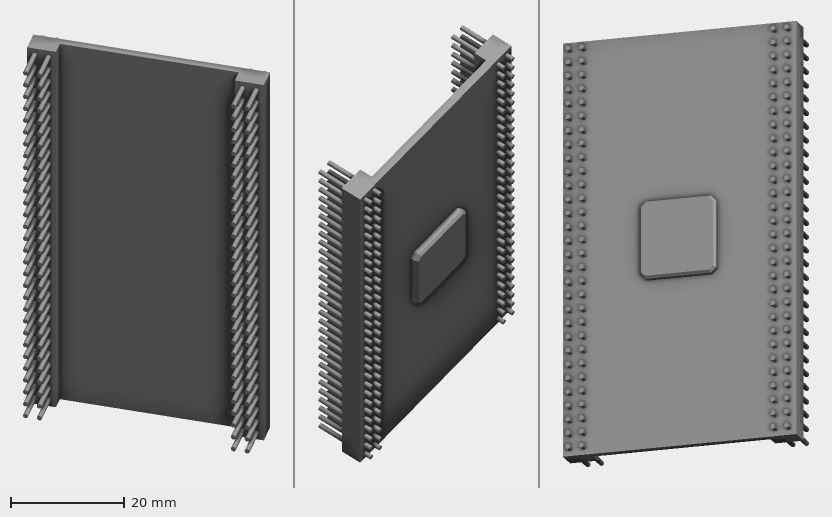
import cadquery as cq

length = 76.45
width = 43.4
depth = 11.55

pin_diameter = 0.9
pins_per_row = 30
edge_margin = 1.4
pin_pitch = (length - 2 * edge_margin) / (pins_per_row - 1)
outer_row_x = width / 2 - edge_margin
inner_row_x = outer_row_x - pin_pitch
pin_back_length = 1.45

board_thickness = 1.5
strip_width = pin_pitch + 2 * edge_margin
body_depth = 4.1

chip_size = 14.3
chip_height = pin_back_length
chip_corner = 1.0
chip_bevel = 0.45

back_tip_y = depth / 2
front_tip_y = -depth / 2
board_back_y = back_tip_y - pin_back_length
board_front_y = board_back_y - board_thickness
strip_front_y = board_back_y - body_depth


def make_body():
    """Channel section: a thin board with a header strip along each side."""
    half_width = width / 2
    half_gap = half_width - strip_width
    body = cq.Workplane("XY").box(width, body_depth, length)
    body = body.translate((0, (board_back_y + strip_front_y) / 2, 0))
    gap_depth = board_front_y - strip_front_y
    gap = cq.Workplane("XY").box(2 * half_gap, gap_depth, length)
    return body.cut(gap.translate((0, (board_front_y + strip_front_y) / 2, 0)))


def make_chip():
    """Square package with cut corners and a bevelled rim on its outer face."""
    chip = cq.Workplane("XY").box(chip_size, chip_height, chip_size)
    chip = chip.edges("|Y").chamfer(chip_corner)
    chip = chip.faces(">Y").edges().chamfer(chip_bevel)
    return chip.translate((0, board_back_y + chip_height / 2, 0))


def make_pins(root_y, tip_y):
    """All pin ends that run from root_y to tip_y, two rows on each side."""
    rows = [-outer_row_x, -inner_row_x, inner_row_x, outer_row_x]
    first_z = edge_margin - length / 2
    centers = [(x, first_z + i * pin_pitch) for x in rows for i in range(pins_per_row)]
    plane = cq.Workplane("XZ", origin=(0, root_y, 0))
    return plane.pushPoints(centers).circle(pin_diameter / 2).extrude(root_y - tip_y)


result = (
    make_body()
    .union(make_chip())
    .union(make_pins(strip_front_y, front_tip_y))
    .union(make_pins(board_back_y, back_tip_y))
)